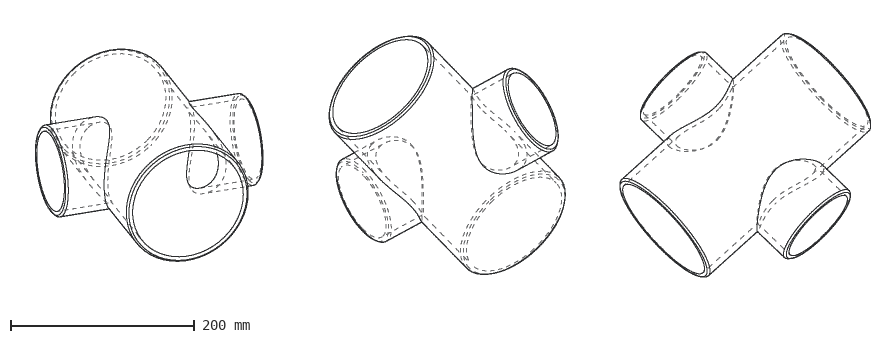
import cadquery as cq

run_length = 247.9
run_diameter = 141.3
branch_span = 228.6
branch_diameter = 101.6
wall = 6.55
end_bevel = 2.2


def centred_rod(plane, diameter, length):
    """Solid cylinder centred on the origin, along the normal of the plane."""
    return cq.Workplane(plane).circle(diameter / 2).extrude(length / 2, both=True)


def bevelled_rod(plane, diameter, length):
    """Centred cylinder with both outer end edges bevelled."""
    return centred_rod(plane, diameter, length).faces("%PLANE").chamfer(end_bevel)


run = bevelled_rod("YZ", run_diameter, run_length)
branches = bevelled_rod("XZ", branch_diameter, branch_span)
outside = run.union(branches)

run_bore = centred_rod("YZ", run_diameter - 2 * wall, run_length)
branch_bore = centred_rod("XZ", branch_diameter - 2 * wall, branch_span)

result = outside.cut(run_bore).cut(branch_bore)